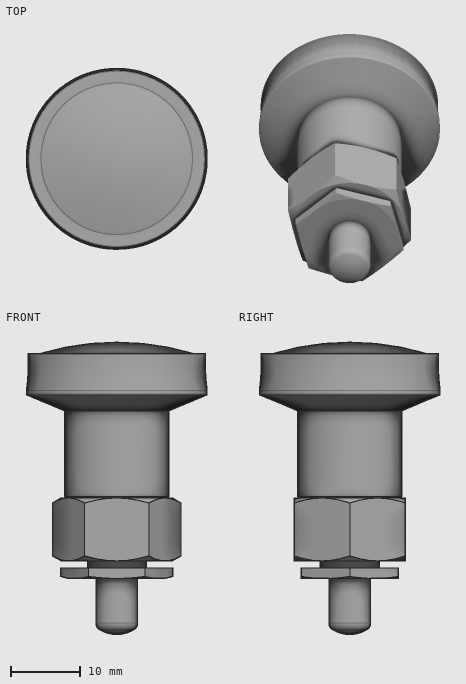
import cadquery as cq
import math

total_height = 42.0
head_diameter = 26.0
rim_diameter = 25.55
rim_z = 40.4
rim_round = 0.15
dome_diameter = 21.8
flank_bottom_z = 35.03
flank_hollow = 0.13
head_bottom_z = 34.45
head_edge_round = 0.2

sleeve_diameter = 15.0
sleeve_top_z = 32.15
sleeve_edge_chamfer = 0.2

body_flats = 16.0
body_top_z = 19.6
body_bottom_z = 10.6
body_chamfer_angle = 30.0

nut_flats = 14.0
nut_top_z = 9.58
nut_bottom_z = 8.05
nut_chamfer_angle = 15.0
shank_diameter = 8.5

pin_diameter = 6.0
nose_radius = 4.6
nose_corner_radius = 1.05


def cylinder(diameter, bottom_z, top_z):
    return cq.Workplane("XY").workplane(offset=bottom_z).circle(diameter / 2).extrude(top_z - bottom_z)


def arc_middle(center, radius, start_angle, end_angle):
    angle = (start_angle + end_angle) / 2
    return center[0] + radius * math.cos(angle), center[1] + radius * math.sin(angle)


def make_head():
    rim_r = rim_diameter / 2
    head_r = head_diameter / 2
    dome_r = dome_diameter / 2
    sleeve_r = sleeve_diameter / 2

    flank_middle = ((rim_r + head_r) / 2 - flank_hollow, (rim_z + flank_bottom_z) / 2)
    upper = (
        cq.Workplane("XZ")
        .moveTo(0, flank_bottom_z)
        .lineTo(head_r, flank_bottom_z)
        .threePointArc(flank_middle, (rim_r, rim_z))
        .lineTo(0, rim_z)
        .close()
        .revolve(360, (0, 0), (0, 1))
        .faces(">Z")
        .edges()
        .fillet(rim_round)
    )
    dome_height = total_height - rim_z
    dome_radius = (dome_r**2 + dome_height**2) / (2 * dome_height)
    dome_middle_r = dome_r / 2
    dome_middle_z = total_height - dome_radius + math.sqrt(dome_radius**2 - dome_middle_r**2)
    dome = (
        cq.Workplane("XZ")
        .moveTo(0, rim_z)
        .lineTo(dome_r, rim_z)
        .threePointArc((dome_middle_r, dome_middle_z), (0, total_height))
        .close()
        .revolve(360, (0, 0), (0, 1))
    )

    lower = (
        cq.Workplane("XZ")
        .moveTo(0, sleeve_top_z)
        .lineTo(sleeve_r, sleeve_top_z)
        .lineTo(head_r, head_bottom_z)
        .lineTo(head_r, flank_bottom_z)
        .lineTo(0, flank_bottom_z)
        .close()
        .revolve(360, (0, 0), (0, 1))
        .edges(cq.selectors.BoxSelector(
            (-head_diameter, -head_diameter, head_bottom_z - head_edge_round),
            (head_diameter, head_diameter, head_bottom_z + head_edge_round),
        ))
        .fillet(head_edge_round)
    )
    return lower.union(upper).union(dome)


def make_sleeve():
    sleeve = cylinder(sleeve_diameter, body_top_z, sleeve_top_z)
    return sleeve.faces("<Z").edges().chamfer(sleeve_edge_chamfer)


def make_hexagon(flats, bottom_z, top_z, chamfer_angle, chamfer_top):
    """Hexagonal prism with corners on the X axis and conically chamfered ends."""
    corner_r = flats / math.sqrt(3)
    flat_r = flats / 2
    chamfer_height = (corner_r - flat_r) * math.tan(math.radians(chamfer_angle))
    prism = (
        cq.Workplane("XY")
        .workplane(offset=bottom_z)
        .polygon(6, 2 * corner_r)
        .extrude(top_z - bottom_z)
    )
    envelope = (
        cq.Workplane("XZ")
        .moveTo(0, bottom_z)
        .lineTo(flat_r, bottom_z)
        .lineTo(corner_r, bottom_z + chamfer_height)
    )
    if chamfer_top:
        envelope = envelope.lineTo(corner_r, top_z - chamfer_height).lineTo(flat_r, top_z)
    else:
        envelope = envelope.lineTo(corner_r, top_z)
    envelope = envelope.lineTo(0, top_z).close().revolve(360, (0, 0), (0, 1))
    return prism.intersect(envelope)


def make_pin():
    pin_r = pin_diameter / 2
    corner_r = pin_r - nose_corner_radius
    tangent_angle = -math.acos(corner_r / (nose_radius - nose_corner_radius))
    corner_z = nose_radius + (nose_radius - nose_corner_radius) * math.sin(tangent_angle)
    nose_edge = (
        nose_radius * math.cos(tangent_angle),
        nose_radius + nose_radius * math.sin(tangent_angle),
    )
    return (
        cq.Workplane("XZ")
        .threePointArc(arc_middle((0, nose_radius), nose_radius, -math.pi / 2, tangent_angle), nose_edge)
        .threePointArc(
            arc_middle((corner_r, corner_z), nose_corner_radius, tangent_angle, 0),
            (pin_r, corner_z),
        )
        .lineTo(pin_r, nut_top_z)
        .lineTo(0, nut_top_z)
        .close()
        .revolve(360, (0, 0), (0, 1))
    )


body = make_hexagon(body_flats, body_bottom_z, body_top_z, body_chamfer_angle, chamfer_top=True)
nut = make_hexagon(nut_flats, nut_bottom_z, nut_top_z, nut_chamfer_angle, chamfer_top=False)
shank = cylinder(shank_diameter, nut_bottom_z, body_bottom_z)

result = make_head().union(make_sleeve()).union(body).union(shank).union(nut).union(make_pin())